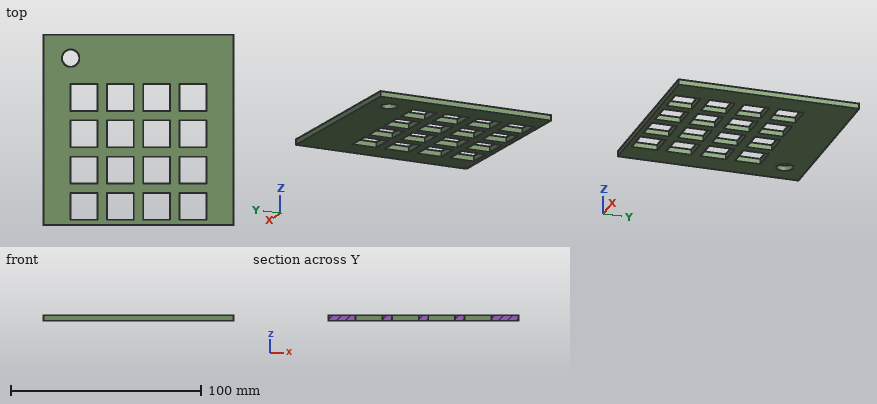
import cadquery as cq

plate_side = 100.0
plate_thickness = 3.0

switch_opening = 14.0
switch_pitch = 19.05
switches_per_side = 4
grid_center_y = -11.55

round_hole_diameter = 9.0
round_hole_x = -35.625
round_hole_y = 37.7


def make_plate():
    return cq.Workplane("XY").rect(plate_side, plate_side).extrude(plate_thickness)


def make_switch_cutters():
    return (
        cq.Workplane("XY")
        .center(0, grid_center_y)
        .rarray(switch_pitch, switch_pitch, switches_per_side, switches_per_side)
        .rect(switch_opening, switch_opening)
        .extrude(plate_thickness)
    )


def make_round_hole_cutter():
    return (
        cq.Workplane("XY")
        .center(round_hole_x, round_hole_y)
        .circle(round_hole_diameter / 2)
        .extrude(plate_thickness)
    )


result = make_plate().cut(make_switch_cutters()).cut(make_round_hole_cutter())